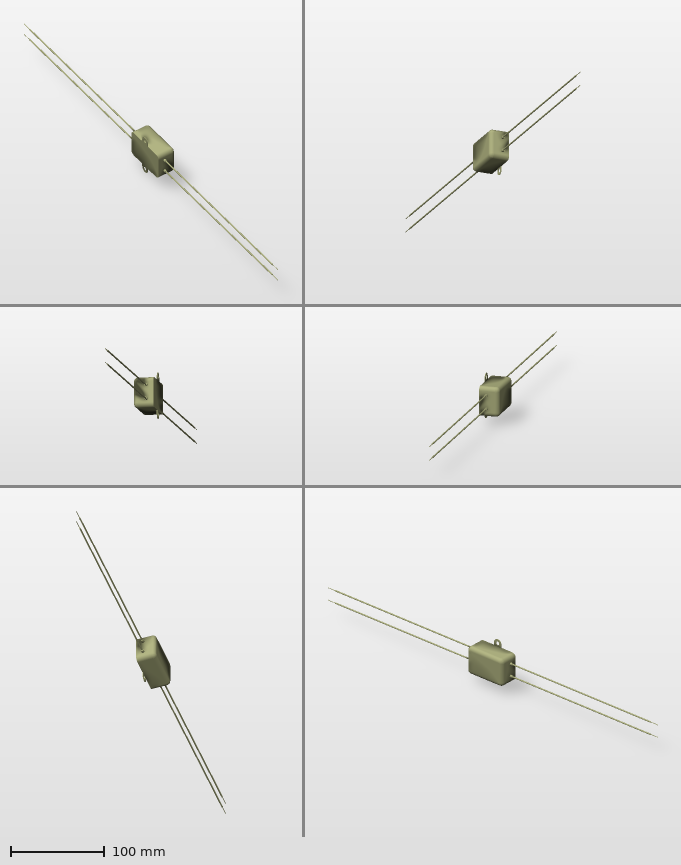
import cadquery as cq

overall_length = 468
body_width = 50.0
body_height = 32.8
body_depth = 22.0
corner_radius = 4.5
back_round = 4.0

ear_span = 50.0
ear_width = 10.0
ear_thickness = 0.7
ear_hole_diameter = 4.5

wire_spacing = 15.0
wire_y = 8.0
collar_diameter = 3.05
collar_length = 3.0
insulation_diameter = 1.65
core_diameter = 0.7
bare_length = 10.5


def make_body():
    """Box with its four corner edges along Y rounded, and a rounded rim around its back face."""
    box = cq.Workplane("XY").box(body_width, body_depth, body_height, centered=(True, False, True))
    return box.edges("|Y").fillet(corner_radius).faces(">Y").edges().fillet(back_round)


def make_ears():
    """Thin strip up the front face, with round drilled ends above and below the body."""
    hole_spacing = ear_span - ear_width
    strip = cq.Workplane("XZ").slot2D(ear_span, ear_width, 90).extrude(-ear_thickness)
    holes = (
        cq.Workplane("XZ")
        .rarray(4.5, hole_spacing, 1, 2)
        .circle(ear_hole_diameter / 2)
        .extrude(-ear_thickness)
    )
    return strip.cut(holes)


def rod_along_x(diameter, length, z):
    """Round rod centred on X = 0 at the depth of the wires."""
    return (
        cq.Workplane("YZ")
        .center(wire_y, z)
        .circle(diameter / 2)
        .extrude(length / 2, both=True)
    )


def make_wire(z):
    """One wire on each side of the body: collar, insulation and bare core."""
    collars = rod_along_x(collar_diameter, body_width + 2 * collar_length, z)
    insulation = rod_along_x(insulation_diameter, overall_length - 2 * bare_length, z)
    core = rod_along_x(core_diameter, overall_length, z)
    return collars.union(insulation).union(core)


result = make_body().union(make_ears())
for side in (-1, 1):
    result = result.union(make_wire(side * wire_spacing / 2))